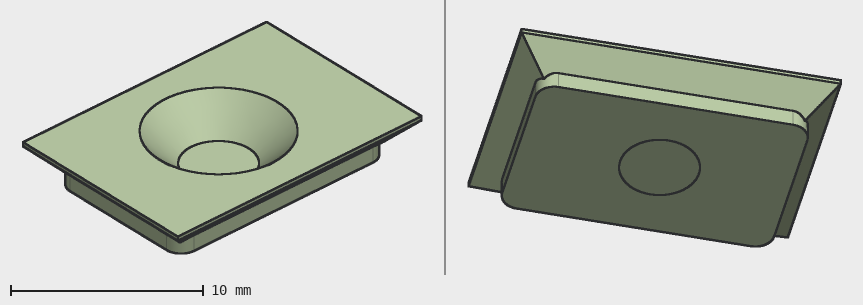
import cadquery as cq

FLANGE_X = 12.0
FLANGE_Y = 17.0
HEIGHT = 2.5
RIM_HEIGHT = 0.25
FLANGE_OVERHANG = 1.25

BASE_X = FLANGE_X - 2 * FLANGE_OVERHANG
BASE_Y = FLANGE_Y - 2 * FLANGE_OVERHANG
CORNER_RADIUS = 1.0
CORNER_OVERLAP = CORNER_RADIUS / 2

DISH_FLOOR_DIAMETER = 4.2
DISH_TOP_DIAMETER = 8.2
DISH_Y = -0.25
DISH_DEPTH = (DISH_TOP_DIAMETER - DISH_FLOOR_DIAMETER) / 2


def make_base():
    """Upright block with rounded vertical corners, standing on Z = 0."""
    block = cq.Workplane("XY").box(BASE_X, BASE_Y, HEIGHT, centered=(True, True, False))
    return block.edges("|Z").fillet(CORNER_RADIUS)


def make_flange():
    """Sharp-cornered flange whose 45 degree underside runs down into the base corners."""
    slope_drop = FLANGE_OVERHANG + CORNER_OVERLAP
    plate_height = RIM_HEIGHT + slope_drop
    plate_bottom = HEIGHT - plate_height
    plate = (
        cq.Workplane("XY", origin=(0, 0, plate_bottom))
        .box(FLANGE_X, FLANGE_Y, plate_height, centered=(True, True, False))
    )
    return plate.faces("<Z").edges().chamfer(slope_drop)


def make_dish():
    """Conical cutter for the dish."""
    return (
        cq.Workplane("XY", origin=(0, DISH_Y, HEIGHT))
        .circle(DISH_TOP_DIAMETER / 2)
        .workplane(offset=-DISH_DEPTH)
        .circle(DISH_FLOOR_DIAMETER / 2)
        .loft(ruled=True)
    )


def make_floor_disc():
    """Round disc that fills the hole below the dish and forms its floor."""
    return (
        cq.Workplane("XY", origin=(0, DISH_Y, 0))
        .circle(DISH_FLOOR_DIAMETER / 2)
        .extrude(HEIGHT - DISH_DEPTH)
    )


def make_housing():
    """Base and flange, opened by the dish and by the hole for the floor disc."""
    body = make_base().union(make_flange())
    return body.cut(make_dish()).cut(make_floor_disc())


housing = make_housing()
floor_disc = make_floor_disc()

result = cq.Compound.makeCompound([housing.solids().val(), floor_disc.val()])